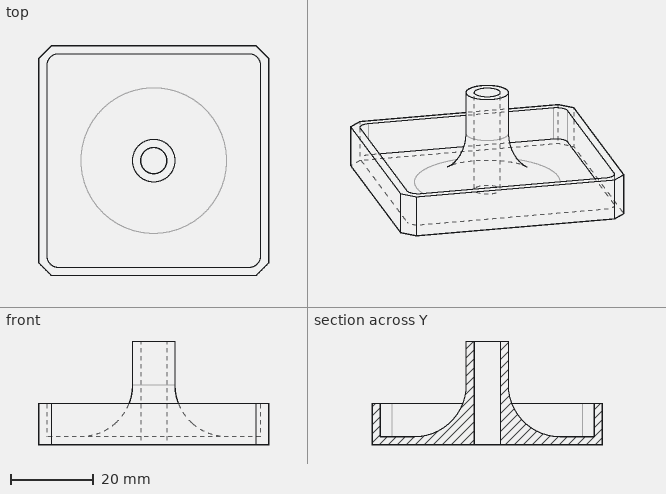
import cadquery as cq

side = 55.7
tray_height = 10.0
corner_chamfer = 3.1
wall = 2.0
floor = 2.0
pocket_corner_radius = 2.8

total_height = 25.0
tube_diameter = 10.3
bore_diameter = 6.3
flare_radius = 12.5


def make_tray():
    """Open tray with chamfered outer corners and rounded inner corners."""
    pocket_side = side - 2 * wall
    body = (
        cq.Workplane("XY")
        .rect(side, side)
        .extrude(tray_height)
        .edges("|Z")
        .chamfer(corner_chamfer)
    )
    pocket = (
        cq.Workplane("XY", origin=(0, 0, floor))
        .rect(pocket_side, pocket_side)
        .extrude(tray_height - floor)
        .edges("|Z")
        .fillet(pocket_corner_radius)
    )
    return body.cut(pocket)


def make_tube():
    """Revolved tube whose foot sweeps out to the floor in a quarter circle."""
    tube_radius = tube_diameter / 2
    flare_foot = tube_radius + flare_radius
    flare_height = floor + flare_radius
    arc_offset = flare_radius * 0.5 ** 0.5
    arc_middle = (flare_foot - arc_offset, flare_height - arc_offset)
    return (
        cq.Workplane("XZ")
        .moveTo(0, 0)
        .lineTo(flare_foot, 0)
        .lineTo(flare_foot, floor)
        .threePointArc(arc_middle, (tube_radius, flare_height))
        .lineTo(tube_radius, total_height)
        .lineTo(0, total_height)
        .close()
        .revolve(360, (0, 0, 0), (0, 1, 0))
    )


bore = cq.Workplane("XY").circle(bore_diameter / 2).extrude(total_height)

result = make_tray().union(make_tube()).cut(bore)